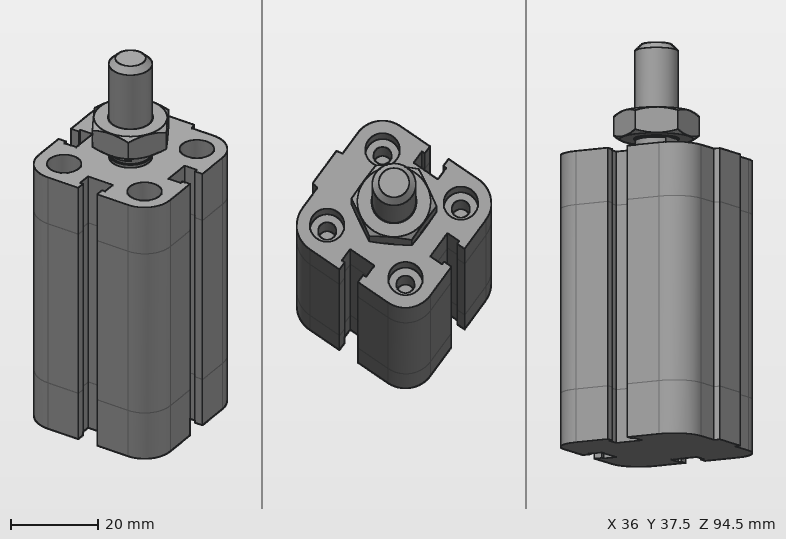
import cadquery as cq
import math


TOTAL_HEIGHT = 94.5

HOUSING_WIDTH = 36.0
HOUSING_HEIGHT = 67.9
CORNER_RADIUS = 7.0
CAP_HEIGHT = 12.5
BARREL_HEIGHT = HOUSING_HEIGHT - 2 * CAP_HEIGHT
HALF_WIDTH = HOUSING_WIDTH / 2

RIB_HEIGHT = 1.5
RIB_BASE_WIDTH = 10.0
RIB_TOP_WIDTH = 9.45

SLOT_MOUTH_WIDTH = 5.2
SLOT_INNER_WIDTH = 6.8
SLOT_LIP = 2.1
SLOT_DEPTH = 5.4
SLOT_SIDE_ANGLES = (-90, 0, 90)

HOLE_OFFSET = HALF_WIDTH - CORNER_RADIUS
HOLE_DIAMETER = 4.2
HOLE_DEPTH = CAP_HEIGHT
COUNTERBORE_DIAMETER = 7.9
COUNTERBORE_DEPTH = 4.9

ROD_DIAMETER = 10.0
ROD_TIP_CHAMFER = 1.5
COLLAR_HEIGHT = 0.8
NECK_DIAMETER = 9.8
NECK_HEIGHT = 3.7
NECK_TAPER_HEIGHT = 0.3
WRENCH_FLATS_WIDTH = 8.0
WRENCH_FLATS_HEIGHT = 2.8

NUT_SIDES = 6
NUT_WIDTH = 17.0
NUT_HEIGHT = 6.05
NUT_STANDOFF = 4.5
NUT_BOTTOM = HOUSING_HEIGHT + NUT_STANDOFF
NUT_FACE_DIAMETER = 16.8
NUT_CHAMFER_ANGLE = 30
NUT_COUNTERSINK_DIAMETER = 10.4


def side_slot(height):
    """Cutter for the slot on the -Y side: a narrow mouth and a wider channel behind it."""
    mouth = (
        cq.Workplane("XY")
        .center(0, -HALF_WIDTH + SLOT_DEPTH / 2)
        .rect(SLOT_MOUTH_WIDTH, SLOT_DEPTH)
        .extrude(height)
    )
    channel_depth = SLOT_DEPTH - SLOT_LIP
    channel = (
        cq.Workplane("XY")
        .center(0, -HALF_WIDTH + SLOT_LIP + channel_depth / 2)
        .rect(SLOT_INNER_WIDTH, channel_depth)
        .extrude(height)
    )
    return mouth.union(channel)


def housing_section(bottom, height):
    """Length of the housing profile: rounded square, rib on +Y, slots on the other sides."""
    section = (
        cq.Workplane("XY")
        .rect(HOUSING_WIDTH, HOUSING_WIDTH)
        .extrude(height)
        .edges("|Z")
        .fillet(CORNER_RADIUS)
    )
    rib = (
        cq.Workplane("XY")
        .moveTo(-RIB_BASE_WIDTH / 2, 0)
        .lineTo(RIB_BASE_WIDTH / 2, 0)
        .lineTo(RIB_BASE_WIDTH / 2, HALF_WIDTH)
        .lineTo(RIB_TOP_WIDTH / 2, HALF_WIDTH + RIB_HEIGHT)
        .lineTo(-RIB_TOP_WIDTH / 2, HALF_WIDTH + RIB_HEIGHT)
        .lineTo(-RIB_BASE_WIDTH / 2, HALF_WIDTH)
        .close()
        .extrude(height)
    )
    section = section.union(rib)
    for angle in SLOT_SIDE_ANGLES:
        section = section.cut(side_slot(height).rotate((0, 0, 0), (0, 0, 1), angle))
    return section.translate((0, 0, bottom))


def make_housing():
    body = housing_section(0, CAP_HEIGHT)
    body = body.union(housing_section(CAP_HEIGHT, BARREL_HEIGHT), clean=False)
    body = body.union(housing_section(HOUSING_HEIGHT - CAP_HEIGHT, CAP_HEIGHT), clean=False)

    return (
        body.copyWorkplane(cq.Workplane("XY", origin=(0, 0, HOUSING_HEIGHT)))
        .rect(2 * HOLE_OFFSET, 2 * HOLE_OFFSET, forConstruction=True)
        .vertices()
        .cboreHole(HOLE_DIAMETER, COUNTERBORE_DIAMETER, COUNTERBORE_DEPTH, HOLE_DEPTH, clean=False)
    )


def make_rod():
    """Rod standing on the housing: collar, neck with two wrench flats, chamfered stud."""
    neck_bottom = HOUSING_HEIGHT + COLLAR_HEIGHT
    stud_bottom = neck_bottom + NECK_HEIGHT
    rod_radius = ROD_DIAMETER / 2
    neck_radius = NECK_DIAMETER / 2

    rod = (
        cq.Workplane("XZ")
        .moveTo(0, HOUSING_HEIGHT)
        .lineTo(rod_radius, HOUSING_HEIGHT)
        .lineTo(rod_radius, neck_bottom)
        .lineTo(neck_radius, neck_bottom + NECK_TAPER_HEIGHT)
        .lineTo(neck_radius, stud_bottom - NECK_TAPER_HEIGHT)
        .lineTo(rod_radius, stud_bottom)
        .lineTo(rod_radius, TOTAL_HEIGHT - ROD_TIP_CHAMFER)
        .lineTo(rod_radius - ROD_TIP_CHAMFER, TOTAL_HEIGHT)
        .lineTo(0, TOTAL_HEIGHT)
        .close()
        .revolve(360, (0, 0, 0), (0, 1, 0))
    )

    for side in (-1, 1):
        flat = (
            cq.Workplane("XY", origin=(0, 0, NUT_BOTTOM - WRENCH_FLATS_HEIGHT))
            .center(0, side * (WRENCH_FLATS_WIDTH + ROD_DIAMETER) / 2)
            .rect(2 * ROD_DIAMETER, ROD_DIAMETER)
            .extrude(WRENCH_FLATS_HEIGHT)
        )
        rod = rod.cut(flat)
    return rod


def make_nut():
    """Hexagonal nut with corners on the X axis, chamfered at both ends."""
    nut_top = NUT_BOTTOM + NUT_HEIGHT
    across_corners = NUT_WIDTH / math.cos(math.pi / NUT_SIDES)
    hexagon = (
        cq.Workplane("XY", origin=(0, 0, NUT_BOTTOM))
        .polygon(NUT_SIDES, across_corners)
        .extrude(NUT_HEIGHT)
    )

    envelope_radius = across_corners / 2
    face_radius = NUT_FACE_DIAMETER / 2
    bevel_height = (envelope_radius - face_radius) * math.tan(math.radians(NUT_CHAMFER_ANGLE))
    bore_radius = ROD_DIAMETER / 2
    countersink_radius = NUT_COUNTERSINK_DIAMETER / 2
    countersink_depth = countersink_radius - bore_radius
    envelope = (
        cq.Workplane("XZ")
        .moveTo(countersink_radius, NUT_BOTTOM)
        .lineTo(face_radius, NUT_BOTTOM)
        .lineTo(envelope_radius, NUT_BOTTOM + bevel_height)
        .lineTo(envelope_radius, nut_top - bevel_height)
        .lineTo(face_radius, nut_top)
        .lineTo(countersink_radius, nut_top)
        .lineTo(bore_radius, nut_top - countersink_depth)
        .lineTo(bore_radius, NUT_BOTTOM + countersink_depth)
        .close()
        .revolve(360, (0, 0, 0), (0, 1, 0))
    )
    return hexagon.intersect(envelope)


housing = make_housing()
rod = make_rod()
nut = make_nut()

result = cq.Compound.makeCompound([housing.val(), rod.val(), nut.val()])